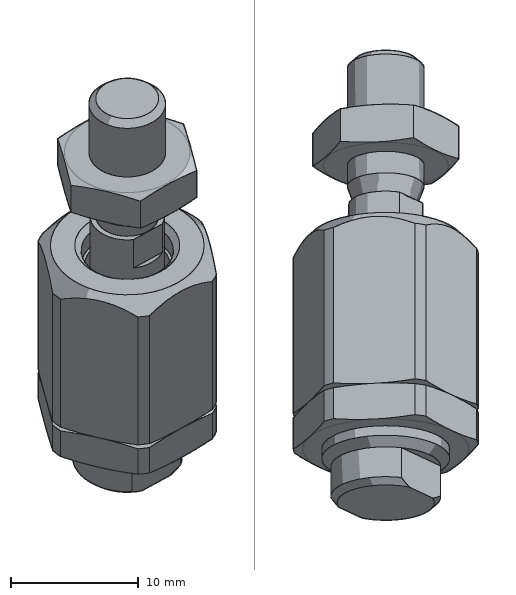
import cadquery as cq
import math

PLUG_FOOT_TOP = 3.0
LOCK_NUT_BOTTOM = 4.5
LOCK_NUT_HEIGHT = 3.0
HOUSING_HEIGHT = 14.5
SHANK_LENGTH = 3.0
NECK_LENGTH = 1.5
STUD_THREAD_LENGTH = 10.5
HOUSING_BOTTOM = LOCK_NUT_BOTTOM + LOCK_NUT_HEIGHT
HOUSING_TOP = HOUSING_BOTTOM + HOUSING_HEIGHT
SHANK_TOP = HOUSING_TOP + SHANK_LENGTH
STUD_THREAD_BOTTOM = SHANK_TOP + NECK_LENGTH
STUD_TOP = STUD_THREAD_BOTTOM + STUD_THREAD_LENGTH

THREAD_DEPTH = 0.54
STUD_THREAD_DIA = 6.0
STUD_ROOT_DIA = STUD_THREAD_DIA - 2 * THREAD_DEPTH
PLUG_THREAD_DIA = 10.0

HEX_WIDTH = 13.0
HEX_CORNER_DIA = 14.5
HOUSING_TOP_DIA = 12.0
HOUSING_TOP_SLOPE = 45.0
HEX_END_SLOPE = 15.0

LIP_HEIGHT = 2.0
LIP_DIA = 7.2
LIP_CHAMFER = 0.5

SHANK_DIA = 5.8
SHANK_FLATS_WIDTH = 5.0
FLATS_ABOVE_HOUSING = 0.1

STUD_NUT_WIDTH = 10.0
STUD_NUT_HEIGHT = 3.2
STUD_NUT_BOTTOM = 28.3
STUD_NUT_FACE_DIA = 9.8

RING_BORE_DIA = 6.7

PLUG_TOP = 12.0
PLUG_FOOT_DIA = 8.6
PLUG_FOOT_WIDTH = 7.0
PLUG_FOOT_CHAMFER = 0.5


def cylinder(diameter, bottom, top):
    return cq.Workplane("XY").workplane(offset=bottom).circle(diameter / 2).extrude(top - bottom)


def revolved(profile):
    """Solid of revolution about Z from (radius, height) points."""
    return cq.Workplane("XZ").polyline(profile).close().revolve(360, (0, 0, 0), (0, 1, 0))


def hexagon(width, bottom, top):
    """Hexagonal bar with two flats facing -X and +X."""
    corner_dia = width / math.cos(math.pi / 6)
    bar = cq.Workplane("XY").workplane(offset=bottom).polygon(6, corner_dia).extrude(top - bottom)
    return bar.rotate((0, 0, 0), (0, 0, 1), 30)


def turned_envelope(outer_dia, bottom, top, bottom_dia, bottom_slope, top_dia, top_slope):
    """Cylinder with a conical edge at each end; slopes are in degrees from horizontal."""
    outer = outer_dia / 2
    bottom_rise = (outer - bottom_dia / 2) * math.tan(math.radians(bottom_slope))
    top_drop = (outer - top_dia / 2) * math.tan(math.radians(top_slope))
    return revolved([
        (0, bottom),
        (bottom_dia / 2, bottom),
        (outer, bottom + bottom_rise),
        (outer, top - top_drop),
        (top_dia / 2, top),
        (0, top),
    ])


def two_flats(width, length, bottom, top):
    """Block whose -X and +X sides become spanner flats on the round part it is intersected with."""
    block = cq.Workplane("XY").workplane(offset=bottom).rect(width, length)
    return block.extrude(top - bottom)


def make_stud():
    flats_bottom = HOUSING_TOP + FLATS_ABOVE_HOUSING
    flatted = cylinder(SHANK_DIA, flats_bottom, SHANK_TOP).intersect(
        two_flats(SHANK_FLATS_WIDTH, SHANK_DIA, flats_bottom, SHANK_TOP)
    )
    shank = cylinder(SHANK_DIA, PLUG_TOP, flats_bottom).union(flatted)
    threaded_end = revolved([
        (0, SHANK_TOP),
        (STUD_ROOT_DIA / 2, SHANK_TOP),
        (STUD_THREAD_DIA / 2, STUD_THREAD_BOTTOM),
        (STUD_THREAD_DIA / 2, STUD_TOP - THREAD_DEPTH),
        (STUD_ROOT_DIA / 2, STUD_TOP),
        (0, STUD_TOP),
    ])
    return shank.union(threaded_end)


def make_stud_nut():
    top = STUD_NUT_BOTTOM + STUD_NUT_HEIGHT
    corner_dia = STUD_NUT_WIDTH / math.cos(math.pi / 6)
    envelope = turned_envelope(
        corner_dia, STUD_NUT_BOTTOM, top,
        STUD_NUT_FACE_DIA, HEX_END_SLOPE, STUD_NUT_FACE_DIA, HEX_END_SLOPE,
    )
    bore = cylinder(STUD_THREAD_DIA, STUD_NUT_BOTTOM, top)
    return hexagon(STUD_NUT_WIDTH, STUD_NUT_BOTTOM, top).intersect(envelope).cut(bore)


def make_housing():
    envelope = turned_envelope(
        HEX_CORNER_DIA, HOUSING_BOTTOM, HOUSING_TOP,
        HEX_WIDTH, HEX_END_SLOPE, HOUSING_TOP_DIA, HOUSING_TOP_SLOPE,
    )
    body = hexagon(HEX_WIDTH, HOUSING_BOTTOM, HOUSING_TOP).intersect(envelope)
    lip_bottom = HOUSING_TOP - LIP_HEIGHT
    bore = revolved([
        (0, HOUSING_BOTTOM),
        (PLUG_THREAD_DIA / 2, HOUSING_BOTTOM),
        (PLUG_THREAD_DIA / 2, lip_bottom),
        (LIP_DIA / 2, lip_bottom),
        (LIP_DIA / 2, HOUSING_TOP - LIP_CHAMFER),
        (LIP_DIA / 2 + LIP_CHAMFER, HOUSING_TOP),
        (0, HOUSING_TOP),
    ])
    return body.cut(bore)


def make_retaining_ring():
    top = HOUSING_TOP - LIP_HEIGHT
    return cylinder(PLUG_THREAD_DIA, PLUG_TOP, top).cut(cylinder(RING_BORE_DIA, PLUG_TOP, top))


def make_lock_nut():
    envelope = turned_envelope(
        HEX_CORNER_DIA, LOCK_NUT_BOTTOM, HOUSING_BOTTOM,
        HEX_WIDTH, HEX_END_SLOPE, HEX_WIDTH, HEX_END_SLOPE,
    )
    bore = cylinder(PLUG_THREAD_DIA, LOCK_NUT_BOTTOM, HOUSING_BOTTOM)
    return hexagon(HEX_WIDTH, LOCK_NUT_BOTTOM, HOUSING_BOTTOM).intersect(envelope).cut(bore)


def make_plug():
    foot = cylinder(PLUG_FOOT_DIA, 0, PLUG_FOOT_TOP).faces("<Z").chamfer(PLUG_FOOT_CHAMFER)
    foot = foot.intersect(two_flats(PLUG_FOOT_WIDTH, PLUG_FOOT_DIA, 0, PLUG_FOOT_TOP))
    thread_chamfer = (PLUG_THREAD_DIA - PLUG_FOOT_DIA) / 2
    thread = cylinder(PLUG_THREAD_DIA, PLUG_FOOT_TOP, PLUG_TOP).faces("<Z").chamfer(thread_chamfer)
    return foot.union(thread)


stud = make_stud()
stud_nut = make_stud_nut()
housing = make_housing()
retaining_ring = make_retaining_ring()
lock_nut = make_lock_nut()
plug = make_plug()

result = cq.Compound.makeCompound([
    stud.val(),
    stud_nut.val(),
    housing.val(),
    retaining_ring.val(),
    lock_nut.val(),
    plug.val(),
])